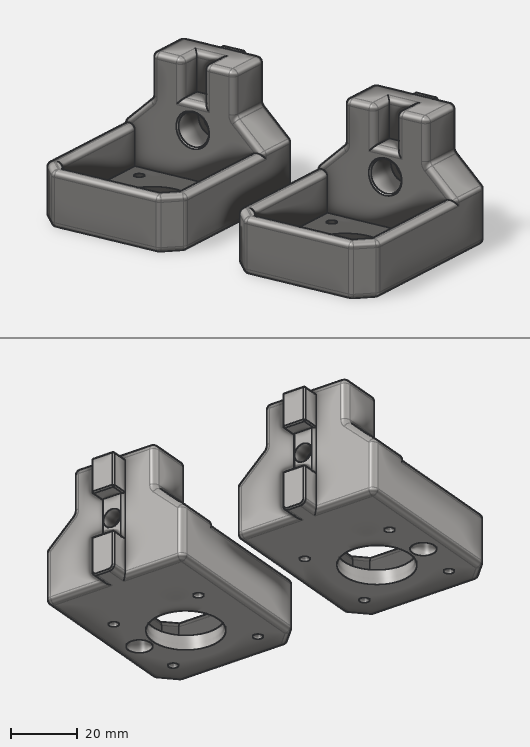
import cadquery as cq

body_width = 50.55
body_length = 62.75
body_height = 43.0
mount_pitch = 69.95
edge_radius = 2.0

wall_height = 18.5
wall_thickness = 4.25
floor_thickness = 5.0
outer_chamfer = 5.98
inner_chamfer = 3.75

block_depth = 16.25
tower_width = 30.0
shoulder_top = 28.0

notch_width = 8.0
notch_depth = 8.0
notch_height = 13.0

motor_size = 42.0
motor_bore_diameter = 24.0
motor_screw_diameter = 3.2
motor_screw_pitch = 31.0
wire_hole_diameter = 8.0
wire_hole_offset = 17.0

screw_z = 21.0
screw_diameter = 6.2
screw_chamfer = 0.4
head_diameter = 11.0
head_chamfer = 0.5
head_depth = 11.0

key_width = 8.25
key_length = 6.0
key_chamfer = 0.5
key_gap = 15.0
upper_key_height = 12.0
ridge_length = 1.0

select_margin = 0.1

half_width = body_width / 2
front_y = -body_length
block_front_y = -block_depth
motor_y = front_y + wall_thickness + motor_size / 2
lower_key_top = screw_z - key_gap / 2
upper_key_bottom = screw_z + key_gap / 2


def tray_outline(base_z, inset, chamfer):
    """Closed rectangle, inset from the tray sides, with both front corners chamfered."""
    side = half_width - inset
    front = front_y + inset
    return (
        cq.Workplane("XY", origin=(0, 0, base_z))
        .moveTo(side, -inset)
        .lineTo(-side, -inset)
        .lineTo(-side, front + chamfer)
        .lineTo(-side + chamfer, front)
        .lineTo(side - chamfer, front)
        .lineTo(side, front + chamfer)
        .close()
    )


def make_tray():
    """Open tray with rounded edges; the block later fills its back part."""
    shell = tray_outline(0, 0, outer_chamfer).extrude(wall_height).edges().fillet(edge_radius)
    cavity = tray_outline(floor_thickness, wall_thickness, inner_chamfer).extrude(wall_height)
    rim_inset = edge_radius + select_margin
    rim = cq.selectors.BoxSelector(
        (-half_width + rim_inset, front_y + rim_inset, wall_height - select_margin),
        (half_width - rim_inset, -rim_inset, wall_height + select_margin),
    )
    return shell.cut(cavity).edges(rim).fillet(edge_radius)


def make_block():
    """Upright block with rounded edges and a notch open to the top and front."""
    half_tower = tower_width / 2
    block = (
        cq.Workplane("XZ")
        .moveTo(-half_width, 0)
        .lineTo(half_width, 0)
        .lineTo(half_width, wall_height)
        .lineTo(half_tower, shoulder_top)
        .lineTo(half_tower, body_height)
        .lineTo(-half_tower, body_height)
        .lineTo(-half_tower, shoulder_top)
        .lineTo(-half_width, wall_height)
        .close()
        .extrude(block_depth)
    )
    notch = (
        cq.Workplane("XY", origin=(0, block_front_y + notch_depth / 2, body_height - notch_height))
        .rect(notch_width, notch_depth)
        .extrude(notch_height)
    )
    inner_edges = cq.selectors.BoxSelector(
        (-half_tower + select_margin, block_front_y + select_margin, shoulder_top + select_margin),
        (half_tower - select_margin, -select_margin, body_height - select_margin),
    )
    block = block.cut(notch)
    sharp_edges = block.edges(inner_edges).vals()
    rounded_edges = [edge for edge in block.edges().vals() if edge not in sharp_edges]
    return block.newObject(rounded_edges).fillet(edge_radius)


def make_key(bottom_z, key_height):
    """Bar standing on the back face, rooted inside the block behind its rounded edges."""
    root = edge_radius
    return (
        cq.Workplane("XY", origin=(0, (key_length - root) / 2, bottom_z))
        .rect(key_width, key_length + root)
        .extrude(key_height)
    )


def make_upper_key():
    key = make_key(upper_key_bottom, upper_key_height)
    return key.edges("|Y or >Y").chamfer(key_chamfer)


def make_lower_key():
    key = make_key(0, lower_key_top)
    key = key.edges("|Y and <Z").fillet(edge_radius)
    return key.faces(">Y").edges().chamfer(key_chamfer).edges("|Y and >Z").chamfer(key_chamfer)


def make_ridge():
    """Low trapezoidal ridge between the two keys, with 45 degree flanks."""
    half_base = key_width / 2
    half_crest = half_base - ridge_length
    return (
        cq.Workplane("XY", origin=(0, 0, lower_key_top - key_chamfer))
        .polyline([(-half_base, 0), (half_base, 0), (half_crest, ridge_length), (-half_crest, ridge_length)])
        .close()
        .extrude(key_gap + 2 * key_chamfer)
    )


def cut_motor_holes(body, wire_side):
    """Motor bore, four motor screws and a wire hole on the given side (-1 or 1) of the bore."""
    floor = cq.Workplane("XY", origin=(0, motor_y, 0))
    bore = floor.circle(motor_bore_diameter / 2).extrude(floor_thickness)
    screws = (
        floor.rect(motor_screw_pitch, motor_screw_pitch, forConstruction=True)
        .vertices()
        .circle(motor_screw_diameter / 2)
        .extrude(floor_thickness)
    )
    wire_hole = (
        floor.center(wire_side * wire_hole_offset, 0)
        .circle(wire_hole_diameter / 2)
        .extrude(floor_thickness)
    )
    return body.cut(bore).cut(screws).cut(wire_hole)


def cut_screw_hole(body):
    """Counterbored screw hole along Y, chamfered at the mouth and at the head seat."""
    head_radius = head_diameter / 2
    screw_radius = screw_diameter / 2
    seat_y = block_front_y + head_depth
    cutter = (
        cq.Workplane("XY")
        .moveTo(0, block_front_y)
        .lineTo(head_radius + head_chamfer, block_front_y)
        .lineTo(head_radius, block_front_y + head_chamfer)
        .lineTo(head_radius, seat_y)
        .lineTo(screw_radius + screw_chamfer, seat_y)
        .lineTo(screw_radius, seat_y + screw_chamfer)
        .lineTo(screw_radius, ridge_length)
        .lineTo(0, ridge_length)
        .close()
        .revolve(360, (0, 0, 0), (0, 1, 0))
        .translate((0, 0, screw_z))
    )
    return body.cut(cutter)


def make_mount(wire_side):
    mount = make_tray().union(make_block())
    mount = mount.union(make_upper_key()).union(make_lower_key()).union(make_ridge())
    mount = cut_motor_holes(mount, wire_side)
    return cut_screw_hole(mount)


mounts = []
for side in (-1, 1):
    mount = make_mount(side)
    mounts.append(mount.translate((side * mount_pitch / 2, 0, 0)))

result = cq.Compound.makeCompound([mount.val() for mount in mounts])